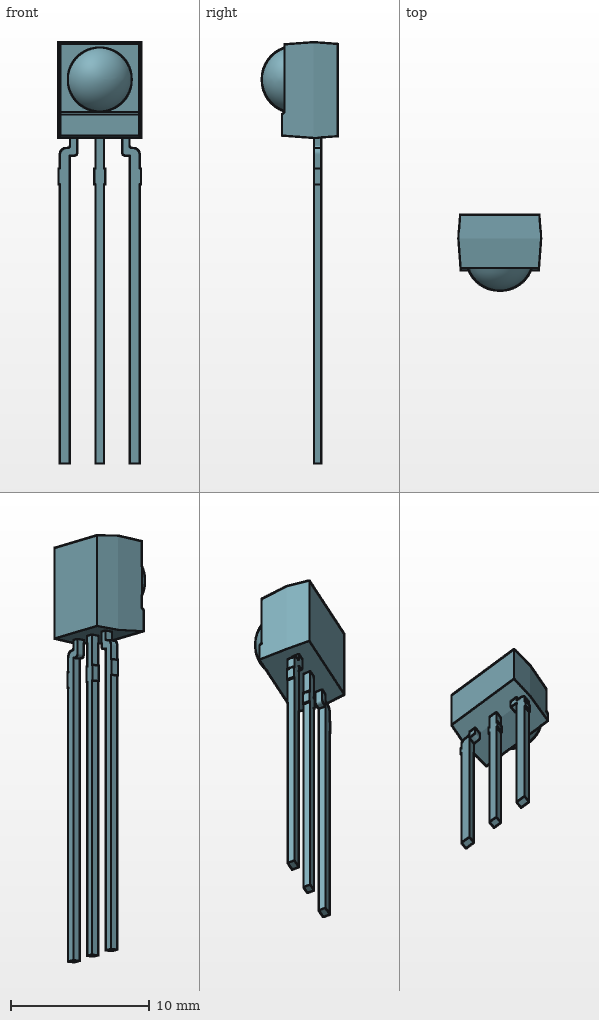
import cadquery as cq
import math

total_height = 30.5
body_width = 6.0
body_height = 6.95
back_depth = 1.75
ledge_depth = 2.32
face_depth = 2.15
draft_angle = 4.3

ledge_top = 25.25
dome_radius = 2.32
dome_rise = 1.65
dome_height = 27.8

lead_thickness = 0.55
middle_lead_width = 0.65
outer_lead_width = 0.73
outer_lead_edge = 2.9
neck_width = 0.55
shoulder_height = 22.85
step_height = 22.25
shoulder_radius = 0.5
bend_radius = 0.15
step_radius = 0.25
stop_width = 0.1
stop_top = 21.35
stop_bottom = 20.2

body_bottom = total_height - body_height
body_middle = total_height - body_height / 2
embed_depth = 0.3
lead_top = body_bottom + embed_depth


def draft_block(depth):
    """Half of the moulded body, tapering away from the parting plane along -Y for positive depth."""
    return (
        cq.Workplane("XZ", origin=(0, 0, body_middle))
        .rect(body_width, body_height)
        .extrude(depth, taper=draft_angle)
    )


def make_body():
    body = draft_block(ledge_depth).union(draft_block(-back_depth))
    recess_depth = ledge_depth - face_depth
    recess = (
        cq.Workplane("YZ")
        .moveTo(-ledge_depth, ledge_top)
        .lineTo(-face_depth, ledge_top + recess_depth)
        .lineTo(-face_depth, total_height)
        .lineTo(-ledge_depth, total_height)
        .close()
        .extrude(body_width / 2, both=True)
    )
    return body.cut(recess)


def make_dome():
    """Spherical lens cap standing on the recessed front face."""
    sphere_radius = (dome_radius**2 + dome_rise**2) / (2 * dome_rise)
    mid_rise_radius = math.sqrt(sphere_radius**2 - (sphere_radius - dome_rise / 2) ** 2)
    root = -face_depth + embed_depth
    return (
        cq.Workplane("XY", origin=(0, 0, dome_height))
        .moveTo(0, root)
        .lineTo(dome_radius, root)
        .lineTo(dome_radius, -face_depth)
        .threePointArc((mid_rise_radius, -face_depth - dome_rise / 2), (0, -face_depth - dome_rise))
        .close()
        .revolve(360, (0, 0, 0), (0, 1, 0))
    )


def extrude_lead(outline):
    return outline.close().extrude(-lead_thickness)


def make_stop(edge, side):
    """Small square-ended stop bump on a lead edge; side is the sign of its X direction."""
    tip = edge + side * stop_width
    return extrude_lead(
        cq.Workplane("XZ")
        .moveTo(edge - side * stop_width, stop_bottom)
        .lineTo(tip, stop_bottom)
        .lineTo(tip, stop_top)
        .lineTo(edge - side * stop_width, stop_top)
    )


def make_middle_lead():
    half_width = middle_lead_width / 2
    lead = extrude_lead(
        cq.Workplane("XZ")
        .moveTo(-half_width, 0)
        .lineTo(half_width, 0)
        .lineTo(half_width, lead_top)
        .lineTo(-half_width, lead_top)
    )
    for side in (-1, 1):
        lead = lead.union(make_stop(side * half_width, side))
    return lead


def make_outer_lead():
    """Lead on the +X side, stepping outward just below the body."""
    inner_edge = outer_lead_edge - outer_lead_width
    neck_edge = inner_edge - neck_width
    lead = extrude_lead(
        cq.Workplane("XZ")
        .moveTo(inner_edge, 0)
        .lineTo(outer_lead_edge, 0)
        .lineTo(outer_lead_edge, shoulder_height - shoulder_radius)
        .radiusArc((outer_lead_edge - shoulder_radius, shoulder_height), -shoulder_radius)
        .lineTo(inner_edge + bend_radius, shoulder_height)
        .radiusArc((inner_edge, shoulder_height + bend_radius), bend_radius)
        .lineTo(inner_edge, lead_top)
        .lineTo(neck_edge, lead_top)
        .lineTo(neck_edge, step_height + step_radius)
        .radiusArc((neck_edge + step_radius, step_height), -step_radius)
        .lineTo(inner_edge, step_height)
    )
    return lead.union(make_stop(outer_lead_edge, 1))


outer_lead = make_outer_lead()
result = (
    make_body()
    .union(make_dome())
    .union(make_middle_lead())
    .union(outer_lead)
    .union(outer_lead.mirror("YZ"))
)